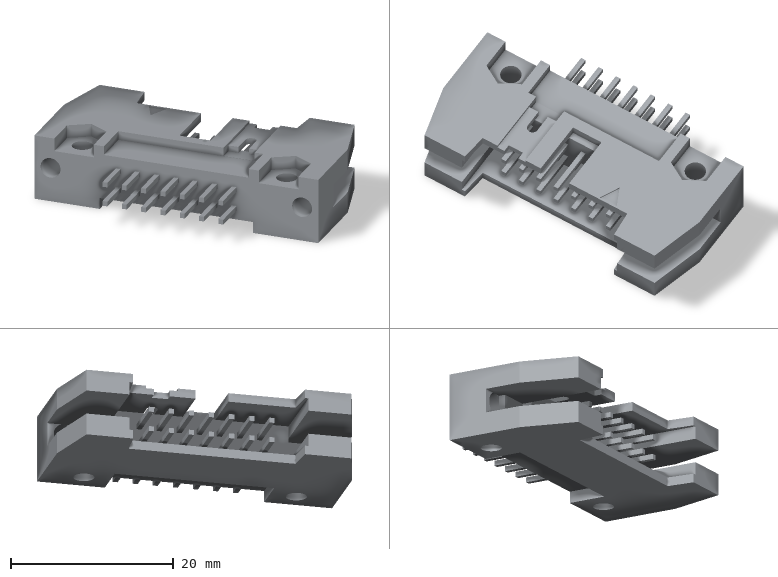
import cadquery as cq


body_width = 37.4
body_height = 8.5
top_z = body_height / 2
bottom_z = -top_z
wing_length = 17.25
mouth_y = 13.73
shoulder_y = 10.0
wing_tip_outer_x = 16.8
wing_tip_inner_x = 10.9
wing_root_inner_x = 10.55

wall = 1.12
cavity_floor_y = 7.3
cavity_width = 22.65

slot_height = 3.03
slot_floor_y = 5.15
slot_step_y = 6.02
slot_step_x = 15.52

pin_columns = 7
pin_rows = 2
pin_pitch = 2.55
pin_size = 0.65
pin_tail = 4.55
pin_tip_y = 13.55

hole_diameter = 2.6
end_hole_x = 16.55
end_hole_z = 0.22
mount_hole_x = 13.45
mount_hole_y = 2.8
pocket_width = 5.2
pocket_shoulder_y = 4.3
pocket_apex_y = 5.8
pocket_depth = 1.7

recess_length = 4.95
top_recess_width = 19.07
top_recess_depth = 1.15
bottom_recess_width = 20.2
bottom_recess_depth = 1.45

key_width = 4.15
key_end_y = 6.4

channel_x = 2.5 * pin_pitch
channel_width = 4.08
channel_depth = 0.35
channel_step_y = 6.5
relief_width = 1.4
relief_end_y = 9.6
mouth_notch_width = 2.05
mouth_notch_depth = 1.0

marker_x = -(pin_columns - 1) / 2 * pin_pitch
marker_width = 2.45
marker_base_y = 13.5
marker_apex_y = 10.92
marker_depth = 0.2


def block(x_range, y_range, z_range):
    """Box spanning the given (low, high) limits along each axis."""
    (x0, x1), (y0, y1), (z0, z1) = x_range, y_range, z_range
    return cq.Workplane("XY").box(x1 - x0, y1 - y0, z1 - z0, centered=False).translate((x0, y0, z0))


def centred(width, x=0.0):
    """(low, high) limits of a width centred on x."""
    return (x - width / 2, x + width / 2)


def top_cut(points, depth):
    """Prism with the given XY outline, reaching down from the top face."""
    return cq.Workplane("XY").workplane(offset=top_z - depth).polyline(points).close().extrude(depth)


def housing():
    right_side = [
        (body_width / 2, 0),
        (body_width / 2, shoulder_y),
        (wing_tip_outer_x, wing_length),
        (wing_tip_inner_x, wing_length),
        (wing_root_inner_x, mouth_y),
    ]
    left_side = [(-x, y) for x, y in reversed(right_side)]
    outline = cq.Workplane("XY").workplane(offset=bottom_z).polyline(right_side + left_side).close()
    return outline.extrude(body_height)


def cavity():
    return block(centred(cavity_width), (cavity_floor_y, wing_length), centred(body_height - 2 * wall))


def latch_slots():
    """Stepped slot through both ends, opening into the cavity."""
    z_range = centred(slot_height)
    slots = block(centred(body_width), (slot_step_y, wing_length), z_range)
    slots = slots.cut(block(centred(cavity_width), (0, cavity_floor_y), z_range))
    y_range = (slot_floor_y, slot_step_y)
    slots = slots.union(block((slot_step_x, body_width / 2), y_range, z_range))
    return slots.union(block((-body_width / 2, -slot_step_x), y_range, z_range))


def end_holes():
    """Holes from the board-side face to the latch slot floors."""
    centres = [(-end_hole_x, end_hole_z), (end_hole_x, end_hole_z)]
    return cq.Workplane("XZ").pushPoints(centres).circle(hole_diameter / 2).extrude(-slot_floor_y)


def mount_holes():
    centres = [(-mount_hole_x, mount_hole_y), (mount_hole_x, mount_hole_y)]
    plane = cq.Workplane("XY").workplane(offset=bottom_z)
    return plane.pushPoints(centres).circle(hole_diameter / 2).extrude(body_height)


def nut_pocket(x):
    left, right = centred(pocket_width, x)
    points = [
        (left, 0),
        (right, 0),
        (right, pocket_shoulder_y),
        (x, pocket_apex_y),
        (left, pocket_shoulder_y),
    ]
    return top_cut(points, pocket_depth)


def board_recesses():
    y_range = (0, recess_length)
    top = block(centred(top_recess_width), y_range, (top_z - top_recess_depth, top_z))
    bottom = block(centred(bottom_recess_width), y_range, (bottom_z, bottom_z + bottom_recess_depth))
    return top.union(bottom)


def key_slot():
    return block(centred(key_width), (key_end_y, mouth_y), (top_z - wall, top_z))


def channel():
    """Shallow channel with a deep end, a round-ended relief and a mouth notch."""
    deep = (top_z - wall, top_z)
    width = centred(channel_width, channel_x)
    relief_radius = relief_width / 2
    relief_centre_y = relief_end_y - relief_radius
    cut = block(width, (recess_length, mouth_y), (top_z - channel_depth, top_z))
    cut = cut.union(block(width, (recess_length, channel_step_y), deep))
    cut = cut.union(block(centred(relief_width, channel_x), (channel_step_y, relief_centre_y), deep))
    round_end = cq.Workplane("XY").workplane(offset=top_z - wall).center(channel_x, relief_centre_y)
    cut = cut.union(round_end.circle(relief_radius).extrude(wall))
    notch = block(centred(mouth_notch_width, channel_x), (mouth_y - mouth_notch_depth, mouth_y), deep)
    return cut.union(notch)


def pin_one_marker():
    left, right = centred(marker_width, marker_x)
    return top_cut([(left, marker_base_y), (right, marker_base_y), (marker_x, marker_apex_y)], marker_depth)


def pins():
    grid = cq.Workplane("XZ", origin=(0, -pin_tail, 0)).rarray(pin_pitch, pin_pitch, pin_columns, pin_rows)
    return grid.rect(pin_size, pin_size).extrude(-(pin_tail + pin_tip_y))


result = housing()
for feature in (
    cavity(),
    latch_slots(),
    end_holes(),
    mount_holes(),
    nut_pocket(-mount_hole_x),
    nut_pocket(mount_hole_x),
    board_recesses(),
    key_slot(),
    channel(),
    pin_one_marker(),
):
    result = result.cut(feature)
result = result.union(pins())